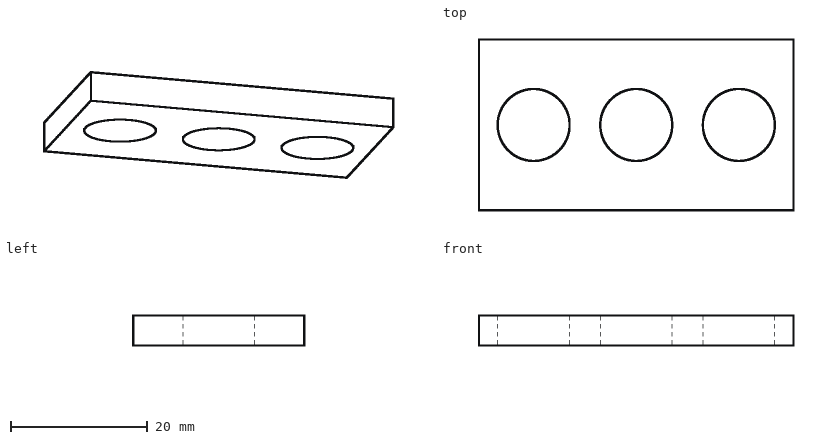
import cadquery as cq

plate_length = 46.0
plate_width = 25.0
plate_thickness = 4.4

hole_diameter = 10.5
hole_count = 3
hole_pitch = 15.0


def make_plate():
    """Rectangular plate centred on the origin."""
    return cq.Workplane("XY").box(plate_length, plate_width, plate_thickness)


def drill_hole_row(plate):
    """Drill the evenly spaced row of holes through the plate, along X."""
    return (
        plate.faces(">Z")
        .workplane()
        .rarray(hole_pitch, plate_width, hole_count, 1)
        .hole(hole_diameter)
    )


result = drill_hole_row(make_plate())